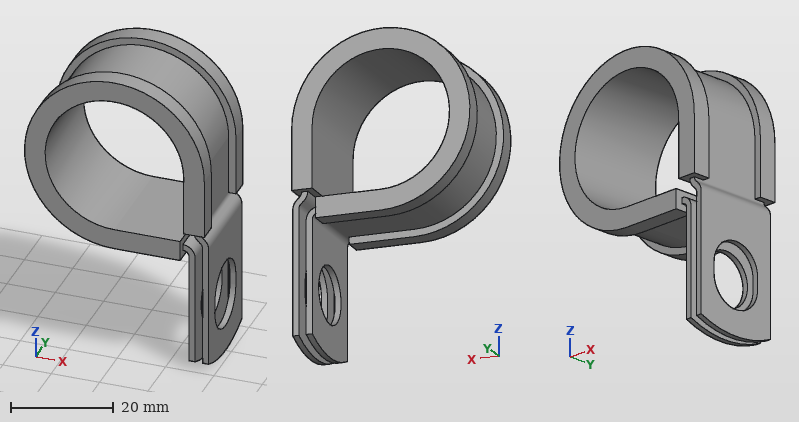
import cadquery as cq
import math


bore_radius = 14.2875
liner_thickness = 1.5
lip_height = 1.5
cushion_width = 22.1
lip_width = 4.0
lower_leg_length = 13.57
upper_leg_length = 12.42

strap_thickness = 1.27
strap_width = 19.0
bend_inner_radius = 1.27
jog_angle = math.radians(45)

tab_bottom_z = -43.63
tab_gap = 1.54
upper_tab_outer_x = 18.92
tab_end_rise = 2.05
hole_diameter = 11.9
slot_length = 14.3
hole_above_bottom = 12.74

strap_inner_radius = bore_radius + liner_thickness
strap_mid_radius = strap_inner_radius + strap_thickness / 2
cushion_outer_radius = strap_inner_radius + strap_thickness + lip_height
channel_width = cushion_width - 2 * lip_width
bend_mid_radius = bend_inner_radius + strap_thickness / 2
upper_tab_x = upper_tab_outer_x - strap_thickness / 2
lower_tab_x = upper_tab_x - strap_thickness - tab_gap
diagonal = math.sqrt(0.5)


def loop_solid(radius, width):
    """Three-quarter disc with its two tangent legs, notched at the open corner."""
    return (
        cq.Workplane("XZ")
        .moveTo(lower_leg_length, -radius)
        .lineTo(0, -radius)
        .threePointArc((-radius * diagonal, radius * diagonal), (radius, 0))
        .lineTo(radius, -upper_leg_length)
        .lineTo(bore_radius, -upper_leg_length)
        .lineTo(0, 0)
        .lineTo(lower_leg_length, -bore_radius)
        .close()
        .extrude(width / 2, both=True)
    )


def bore_solid():
    """Clear space inside the loop, reaching out through the open corner."""
    return (
        cq.Workplane("XZ")
        .moveTo(bore_radius, -bore_radius)
        .lineTo(0, -bore_radius)
        .threePointArc((-bore_radius * diagonal, bore_radius * diagonal), (bore_radius, 0))
        .close()
        .extrude(cushion_width, both=True)
    )


def make_cushion():
    """Rubber cushion with a lip along each side; the strap fills the channel floor."""
    full = loop_solid(cushion_outer_radius, cushion_width)
    outside_strap = loop_solid(cushion_outer_radius, channel_width).cut(
        loop_solid(strap_mid_radius, channel_width)
    )
    return full.cut(outside_strap).cut(bore_solid())


def strap_path():
    """Strap centreline from the lower tab, round the loop, to the upper tab."""
    r = strap_mid_radius
    bend = bend_mid_radius
    bend_start_x = lower_tab_x - bend
    bend_offset = bend * (1 - diagonal)

    jog_across = bend * (1 - math.cos(jog_angle))
    jog_down = bend * math.sin(jog_angle)
    half_across = bend * (1 - math.cos(jog_angle / 2))
    half_down = bend * math.sin(jog_angle / 2)
    slope_start = (r + jog_across, -upper_leg_length - jog_down)
    slope_end_x = upper_tab_x - jog_across
    slope_end_z = slope_start[1] - (slope_end_x - slope_start[0]) / math.tan(jog_angle)
    upper_tab_top_z = slope_end_z - jog_down

    return (
        cq.Workplane("XZ")
        .moveTo(lower_tab_x, tab_bottom_z)
        .lineTo(lower_tab_x, -r - bend)
        .threePointArc((lower_tab_x - bend_offset, -r - bend_offset), (bend_start_x, -r))
        .lineTo(0, -r)
        .threePointArc((-r * diagonal, r * diagonal), (r, 0))
        .lineTo(r, -upper_leg_length)
        .threePointArc((r + half_across, -upper_leg_length - half_down), slope_start)
        .lineTo(slope_end_x, slope_end_z)
        .threePointArc(
            (upper_tab_x - half_across, upper_tab_top_z + half_down),
            (upper_tab_x, upper_tab_top_z),
        )
        .lineTo(upper_tab_x, tab_bottom_z)
    )


def tab_outline():
    """Block along X that gives both tabs their rounded lower end."""
    half_width = strap_width / 2
    corner_z = tab_bottom_z + tab_end_rise
    return (
        cq.Workplane("YZ")
        .moveTo(-half_width, cushion_outer_radius)
        .lineTo(-half_width, corner_z)
        .threePointArc((0, tab_bottom_z), (half_width, corner_z))
        .lineTo(half_width, cushion_outer_radius)
        .close()
        .extrude(2 * cushion_outer_radius, both=True)
    )


def tab_cutter_plane(tab_x):
    """Workplane just inside the tab centred at tab_x, on the bolt axis."""
    return cq.Workplane("YZ", origin=(tab_x - strap_thickness, 0, tab_bottom_z + hole_above_bottom))


def make_strap():
    """Bent strap with rounded tab ends, a round hole in the lower tab and a slot in the upper."""
    section = cq.Workplane("XY", origin=(lower_tab_x, 0, tab_bottom_z)).rect(strap_thickness, strap_width)
    strap = section.sweep(strap_path()).intersect(tab_outline())
    cutter_length = 2 * strap_thickness
    round_hole = tab_cutter_plane(lower_tab_x).circle(hole_diameter / 2).extrude(cutter_length)
    slot = tab_cutter_plane(upper_tab_x).slot2D(slot_length, hole_diameter, 90).extrude(cutter_length)
    return strap.cut(round_hole).cut(slot)


result = make_cushion().union(make_strap())